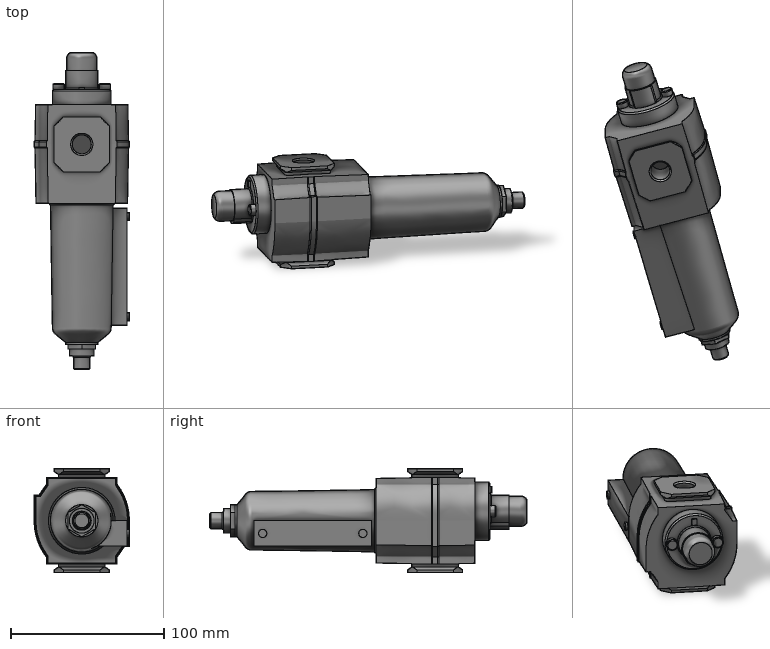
import cadquery as cq
import math

DRAFT_ANGLE = 1.0

HOUSING_BOTTOM_Y = -38.5
HOUSING_TOP_Y = 25.9
HOUSING_HALF_HEIGHT = 28.4
FLAT_HALF_WIDTH = 22.5
SHOULDER_Z = 23.6
SIDE_X = 30.6
LEDGE_X = 27.5
LEDGE_Z = 16.4

BAND_HEIGHT = 0.52
BAND_HALF_WIDTH = 1.7
BAND_SLOPE_WIDTH = 0.8

FLANGE_HALF_WIDTH = 18.0
FLANGE_CORNER = 6.0
FLANGE_FACE_Z = 34.0
FLANGE_RIM = 1.9
DOVETAIL_HEIGHT = 1.9
NECK_HALF_WIDTH = 15.3
NECK_CORNER_RADIUS = 3.1
PORT_RADIUS = 6.2
PORT_CHAMFER = 1.0
PORT_DEPTH = 20.7

COVER_AXIS_Z = 6.2
COVER_RADIUS = 19.3
COVER_TOP_Y = 35.8
COVER_CHAMFER = 1.0
SCREW_OFFSET = 15.1
SCREW_RADIUS = 3.7
SCREW_HEIGHT = 4.0
SCREW_CHAMFER = 0.6
MARK_WIDTH = 3.3
MARK_INNER = 12.0
MARK_OUTER = 16.2
MARK_HEIGHT = 1.2

KNOB_TOP_Y = 59.8
KNOB_SHOULDER_Y = 48.3
KNOB_CROWN_Y = 56.0
KNOB_RADIUS = 10.0
KNOB_FACE_RADIUS = 7.7
KNOB_BASE_RADIUS = 10.5
KNOB_FLARE = 0.8
LOBE_RADIUS = 11.8
LOBE_HALF_WIDTH = 6.8
LOBE_ROOT_HALF_WIDTH = 7.7

COLLAR_RADIUS = 21.7
COLLAR_HEIGHT = 1.2
BOWL_TOP_RADIUS = 20.5
BOWL_BOTTOM_RADIUS = 19.3
BOWL_BOTTOM_Y = -120.0
CONE_TOP_RADIUS = 17.4
CONE_TOP_Y = -123.8
BOWL_END_RADIUS = 10.5
CONE_END_Y = -129.5
BOWL_END_Y = -130.9

SIGHT_X = 29.6
SIGHT_ROOT_X = 8.3
SIGHT_TOP_Y = -41.6
SIGHT_BOTTOM_Y = -118.2
SIGHT_DEPTH = 16.5
BUTTON_X = 31.0
BUTTON_RADIUS = 2.7
BUTTON_INSET = 5.5

HEX_SIDES = 6
HEX_ACROSS_FLATS = 18.2
HEX_END_Y = -133.8
DRAIN_RADIUS = 8.0
DRAIN_END_Y = -138.1
STEM_RADIUS = 5.4
STEM_ROOT_RADIUS = 6.2
STEM_ROOT_HEIGHT = 1.0
STEM_END_Y = -147.2
STEM_CHAMFER = 0.8


def plane_at(y, facing=1, z=0):
    """Sketch plane across the long axis whose normal is +Y or -Y; local y is Z."""
    return cq.Plane(origin=(0, y, z), xDir=(-facing, 0, 0), normal=(0, facing, 0))


def revolve_about_y(outline, axis_z=0):
    """Turn a closed outline of (radius, Y) about an axis parallel to Y."""
    return outline.close().revolve(360, (0, 0, 0), (0, 1, 0)).translate((0, 0, axis_z))


def housing_section(facing, margin=0.0):
    """Housing outline at Y = 0, unchanged by half a turn about Y, so drawn as two turned halves."""
    rise = SHOULDER_Z
    run = SIDE_X - FLAT_HALF_WIDTH
    bulge_radius = (run ** 2 + rise ** 2) / (2 * run)
    half_sweep = math.asin(rise / bulge_radius) / 2
    bulge_x = SIDE_X - bulge_radius * (1 - math.cos(half_sweep))
    bulge_z = bulge_radius * math.sin(half_sweep)
    sketch = cq.Workplane(plane_at(0, facing)).moveTo(facing * FLAT_HALF_WIDTH, HOUSING_HALF_HEIGHT)
    for turn in (1, -1):
        side = facing * turn
        sketch = (
            sketch.lineTo(side * FLAT_HALF_WIDTH, turn * SHOULDER_Z)
            .lineTo(side * LEDGE_X, turn * LEDGE_Z)
            .lineTo(side * SIDE_X, turn * LEDGE_Z)
            .lineTo(side * SIDE_X, 0)
            .threePointArc((side * bulge_x, -turn * bulge_z), (side * FLAT_HALF_WIDTH, -turn * SHOULDER_Z))
            .lineTo(side * FLAT_HALF_WIDTH, -turn * HOUSING_HALF_HEIGHT)
        )
        if turn == 1:
            sketch = sketch.lineTo(-side * FLAT_HALF_WIDTH, -HOUSING_HALF_HEIGHT)
    sketch = sketch.close()
    return sketch.offset2D(margin, "intersection") if margin else sketch


def make_parting_band():
    """Raised band with sloped edges, on the sides but not on the flange faces."""
    slope_angle = math.degrees(math.atan2(BAND_HEIGHT, BAND_SLOPE_WIDTH))
    band = None
    for facing in (1, -1):
        crest = housing_section(facing, BAND_HEIGHT).extrude(BAND_HALF_WIDTH)
        slope = (
            housing_section(facing, BAND_HEIGHT)
            .extrude(BAND_SLOPE_WIDTH, taper=slope_angle)
            .translate((0, facing * BAND_HALF_WIDTH, 0))
        )
        half = crest.union(slope)
        band = half if band is None else band.union(half)
    limit = None
    for facing in (1, -1):
        slab = (
            cq.Workplane(plane_at(0, facing)).rect(3 * SIDE_X, 2 * HOUSING_HALF_HEIGHT)
            .extrude(BAND_HALF_WIDTH + BAND_SLOPE_WIDTH, taper=DRAFT_ANGLE)
        )
        limit = slab if limit is None else limit.union(slab)
    return band.intersect(limit)


def make_flange():
    """Octagonal flange on the +Z face, dovetailed on its four long sides."""
    rim_z = FLANGE_FACE_Z - FLANGE_RIM
    dovetail_z = rim_z - DOVETAIL_HEIGHT
    width = 2 * FLANGE_HALF_WIDTH
    neck_width = 2 * NECK_HALF_WIDTH
    rim = cq.Workplane().workplane(offset=rim_z).rect(width, width).extrude(FLANGE_RIM)
    dovetail = (
        cq.Workplane().workplane(offset=dovetail_z).rect(neck_width, neck_width)
        .workplane(offset=DOVETAIL_HEIGHT).rect(width, width).loft()
    )
    octagon = (
        cq.Workplane().rect(width, width).extrude(FLANGE_FACE_Z)
        .edges("|Z").chamfer(FLANGE_CORNER)
    )
    neck = (
        cq.Workplane().rect(neck_width, neck_width).extrude(dovetail_z)
        .edges("|Z").fillet(NECK_CORNER_RADIUS)
    )
    return rim.union(dovetail).intersect(octagon).union(neck)


def make_port():
    """Blind port bore with a chamfered mouth, entering from +Z."""
    floor_z = FLANGE_FACE_Z - PORT_DEPTH
    return (
        cq.Workplane("XZ").moveTo(0, floor_z)
        .lineTo(PORT_RADIUS, floor_z)
        .lineTo(PORT_RADIUS, FLANGE_FACE_Z - PORT_CHAMFER)
        .lineTo(PORT_RADIUS + PORT_CHAMFER, FLANGE_FACE_Z)
        .lineTo(0, FLANGE_FACE_Z)
        .close()
        .revolve(360, (0, 0, 0), (0, 1, 0))
    )


def make_housing():
    upper = housing_section(1).extrude(HOUSING_TOP_Y, taper=DRAFT_ANGLE)
    lower = housing_section(-1).extrude(-HOUSING_BOTTOM_Y, taper=DRAFT_ANGLE)
    housing = upper.union(lower).union(make_parting_band())
    for turn in (0, 180):
        housing = housing.union(make_flange().rotate((0, 0, 0), (0, 1, 0), turn))
    for turn in (0, 180):
        housing = housing.cut(make_port().rotate((0, 0, 0), (0, 1, 0), turn))
    return housing


def make_cover():
    """Round cover with two screw heads and a pointer mark on its top face."""
    disc = (
        cq.Workplane(plane_at(HOUSING_TOP_Y, z=COVER_AXIS_Z))
        .circle(COVER_RADIUS).extrude(COVER_TOP_Y - HOUSING_TOP_Y)
        .faces(">Y").chamfer(COVER_CHAMFER)
    )
    top = plane_at(COVER_TOP_Y, z=COVER_AXIS_Z)
    screw_heads = (
        cq.Workplane(top).pushPoints([(-SCREW_OFFSET, 0), (SCREW_OFFSET, 0)])
        .circle(SCREW_RADIUS).extrude(SCREW_HEIGHT)
        .faces(">Y").chamfer(SCREW_CHAMFER)
    )
    mark = (
        cq.Workplane(top).center(0, (MARK_INNER + MARK_OUTER) / 2)
        .rect(MARK_WIDTH, MARK_OUTER - MARK_INNER).extrude(MARK_HEIGHT)
    )
    return disc.union(screw_heads).union(mark)


def make_knob():
    """Stepped round knob with a crowned top and a stop lobe below its base."""
    body = revolve_about_y(
        cq.Workplane("XY").moveTo(0, COVER_TOP_Y)
        .lineTo(KNOB_BASE_RADIUS + KNOB_FLARE, COVER_TOP_Y)
        .lineTo(KNOB_BASE_RADIUS, COVER_TOP_Y + KNOB_FLARE)
        .lineTo(KNOB_BASE_RADIUS, KNOB_SHOULDER_Y)
        .lineTo(KNOB_RADIUS, KNOB_SHOULDER_Y)
        .lineTo(KNOB_RADIUS, KNOB_CROWN_Y)
        .tangentArcPoint((KNOB_FACE_RADIUS, KNOB_TOP_Y), relative=False)
        .lineTo(0, KNOB_TOP_Y),
        COVER_AXIS_Z,
    )
    lobe_corner_z = -math.sqrt(LOBE_RADIUS ** 2 - LOBE_HALF_WIDTH ** 2)
    lobe_root_z = -math.sqrt(KNOB_BASE_RADIUS ** 2 - LOBE_ROOT_HALF_WIDTH ** 2)
    lobe = (
        cq.Workplane(plane_at(COVER_TOP_Y, z=COVER_AXIS_Z))
        .lineTo(-LOBE_ROOT_HALF_WIDTH, lobe_root_z)
        .lineTo(-LOBE_HALF_WIDTH, lobe_corner_z)
        .threePointArc((0, -LOBE_RADIUS), (LOBE_HALF_WIDTH, lobe_corner_z))
        .lineTo(LOBE_ROOT_HALF_WIDTH, lobe_root_z)
        .close()
        .extrude(KNOB_SHOULDER_Y - COVER_TOP_Y)
    )
    return body.union(lobe)


def make_sight_block():
    """Rectangular level sight with a round button near each end of its outer face."""
    length = SIGHT_TOP_Y - SIGHT_BOTTOM_Y
    block = cq.Workplane().box(SIGHT_X - SIGHT_ROOT_X, length, SIGHT_DEPTH, centered=False)
    block = block.translate((SIGHT_ROOT_X, SIGHT_BOTTOM_Y, -SIGHT_DEPTH))
    button_ys = (SIGHT_TOP_Y - BUTTON_INSET, SIGHT_BOTTOM_Y + BUTTON_INSET)
    buttons = (
        cq.Workplane("YZ", origin=(SIGHT_X, 0, 0))
        .pushPoints([(y, -SIGHT_DEPTH / 2) for y in button_ys])
        .circle(BUTTON_RADIUS).extrude(BUTTON_X - SIGHT_X)
    )
    return block.union(buttons)


def make_bowl():
    wall = revolve_about_y(
        cq.Workplane("XY").moveTo(0, HOUSING_BOTTOM_Y)
        .lineTo(COLLAR_RADIUS, HOUSING_BOTTOM_Y)
        .lineTo(BOWL_TOP_RADIUS, HOUSING_BOTTOM_Y - COLLAR_HEIGHT)
        .lineTo(BOWL_BOTTOM_RADIUS, BOWL_BOTTOM_Y)
        .tangentArcPoint((CONE_TOP_RADIUS, CONE_TOP_Y), relative=False)
        .lineTo(BOWL_END_RADIUS, CONE_END_Y)
        .lineTo(BOWL_END_RADIUS, BOWL_END_Y)
        .lineTo(0, BOWL_END_Y)
    )
    return wall.union(make_sight_block())


def make_drain():
    """Hexagon with corners on the Z axis, a round body and a slim stem."""
    across_corners = HEX_ACROSS_FLATS / math.cos(math.pi / HEX_SIDES)
    hexagon = (
        cq.Workplane(plane_at(BOWL_END_Y, -1)).polygon(HEX_SIDES, across_corners)
        .extrude(BOWL_END_Y - HEX_END_Y)
        .rotate((0, 0, 0), (0, 1, 0), 180 / HEX_SIDES)
    )
    turned = revolve_about_y(
        cq.Workplane("XY").moveTo(0, HEX_END_Y)
        .lineTo(DRAIN_RADIUS, HEX_END_Y)
        .lineTo(DRAIN_RADIUS, DRAIN_END_Y)
        .lineTo(STEM_ROOT_RADIUS, DRAIN_END_Y)
        .lineTo(STEM_RADIUS, DRAIN_END_Y - STEM_ROOT_HEIGHT)
        .lineTo(STEM_RADIUS, STEM_END_Y + STEM_CHAMFER)
        .lineTo(STEM_RADIUS - STEM_CHAMFER, STEM_END_Y)
        .lineTo(0, STEM_END_Y)
    )
    return hexagon.union(turned)


housing = make_housing()
cover = make_cover()
knob = make_knob()
bowl = make_bowl()
drain = make_drain()

result = cq.Compound.makeCompound([housing.val(), cover.val(), knob.val(), bowl.val(), drain.val()])